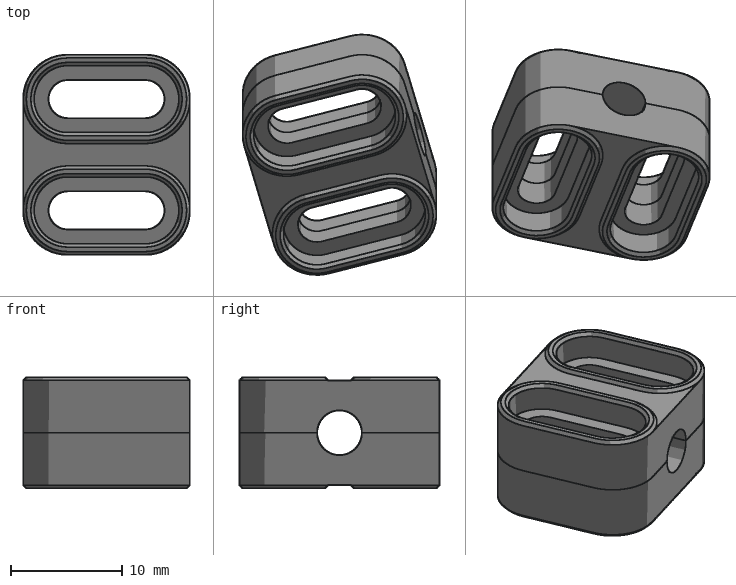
import cadquery as cq

slot_spacing = 10.0
end_spacing = 7.0
corner_radius = 4.0
clamp_length = end_spacing + 2 * corner_radius
clamp_width = slot_spacing + 2 * corner_radius
half_height = 5.0

rim_height = 0.3
rim_wall = 1.0
edge_chamfer = rim_height
block_height = half_height - rim_height

recess_depth = 2.5
recess_radius = corner_radius - rim_wall
flare_radius = recess_radius + edge_chamfer
flare_angle = 45.0
slot_radius = 1.7

bore_diameter = 4.0


def rounded_slots(radius, base_z, height, taper=0):
    """Round-ended prisms at both slot positions; a negative height runs down from base_z."""
    return (
        cq.Workplane("XY", origin=(0, 0, base_z))
        .pushPoints([(0, -slot_spacing / 2), (0, slot_spacing / 2)])
        .slot2D(end_spacing + 2 * radius, 2 * radius)
        .extrude(height, taper=taper)
    )


def clamp_block():
    """Rounded block up to the foot of the rims."""
    return (
        cq.Workplane("XY")
        .rect(clamp_length, clamp_width)
        .extrude(block_height)
        .edges("|Z")
        .fillet(corner_radius)
    )


def raised_rims():
    """Rims whose outer edge is chamfered over their full height above the block."""
    rims = rounded_slots(corner_radius, 0, half_height)
    return rims.faces(">Z").edges().chamfer(edge_chamfer)


def recesses():
    """Flat-bottomed recesses that flare outward in a chamfer at the rim top."""
    straight_part = rounded_slots(recess_radius, half_height, -recess_depth)
    flare = rounded_slots(flare_radius, half_height, -edge_chamfer, taper=flare_angle)
    return straight_part.union(flare)


def bore():
    """Cylinder along X through the middle of the split plane."""
    return (
        cq.Workplane("YZ", origin=(-clamp_length / 2, 0, 0))
        .circle(bore_diameter / 2)
        .extrude(clamp_length)
    )


def clamp_half():
    """Upper half of the clamp, resting on the split plane."""
    through_slots = rounded_slots(slot_radius, 0, half_height)
    half = clamp_block().union(raised_rims())
    return half.cut(recesses()).cut(through_slots).cut(bore())


upper_half = clamp_half()
lower_half = upper_half.mirror("XY")

result = cq.Compound.makeCompound([upper_half.solids().val(), lower_half.solids().val()])